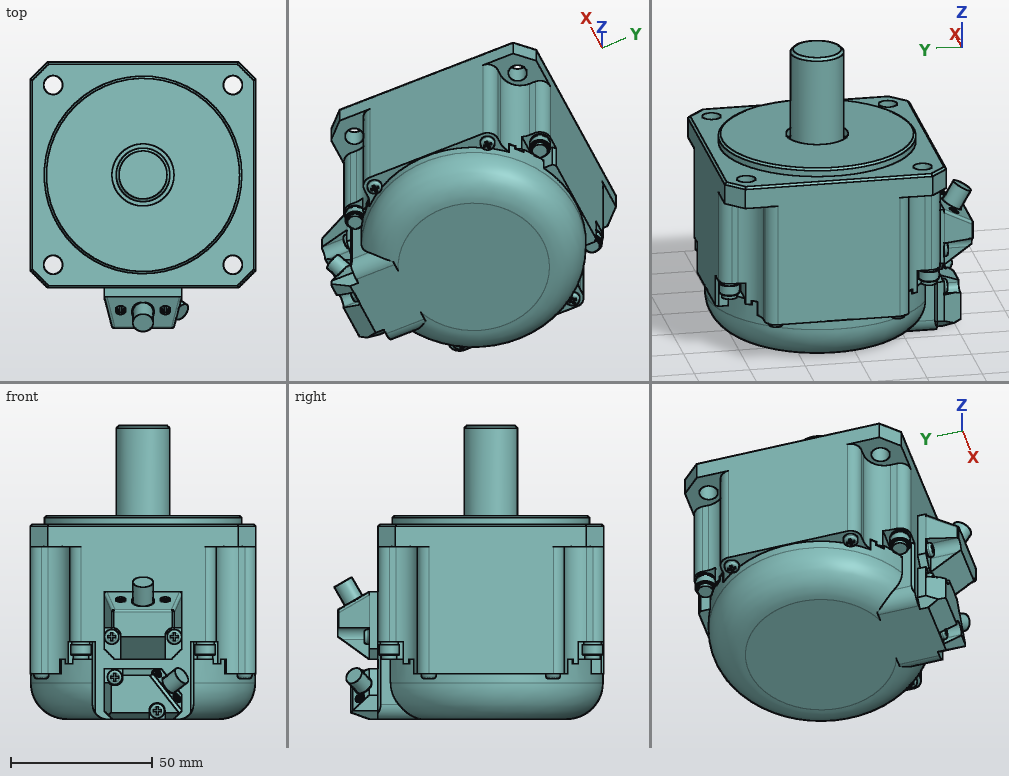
import cadquery as cq
import math

SIZE = 80.0
HALF = SIZE / 2
TOTAL_HEIGHT = 104.1

SHAFT_DIAMETER = 19.0
SHAFT_ABOVE_FLANGE = 35.0
SHAFT_CHAMFER = 1.0
PILOT_DIAMETER = 70.0
PILOT_HEIGHT = 3.0
SHAFT_WELL_DIAMETER = 22.0
SHAFT_WELL_DEPTH = 3.0
EDGE_CHAMFER = 0.8
FLANGE_THICKNESS = 8.0
FLANGE_CORNER = 6.2
BOLT_CIRCLE = 90.0
MOUNT_HOLE_DIAMETER = 6.6
FLANGE_TOP = TOTAL_HEIGHT - SHAFT_ABOVE_FLANGE
FLANGE_BOTTOM = FLANGE_TOP - FLANGE_THICKNESS
PILOT_TOP = FLANGE_TOP + PILOT_HEIGHT

HOUSING_BOTTOM = 21.2
COLUMN_RADIUS = 4.0
COLUMN_OFFSET = 22.0
COLUMN_DEPTH = HALF - COLUMN_RADIUS
SCALLOP_RADIUS = 7.7
SCALLOP_CENTRE = COLUMN_OFFSET + COLUMN_RADIUS + SCALLOP_RADIUS

COVER_RADIUS = 39.8
COVER_ROUND = 13.0
SKIRT_BOTTOM = 16.2
SKIRT_HALF_LENGTH = 27.3
PAD_HALF_WIDTH = 17.9
PAD_CHAMFER = 1.0
PAD_CORNER_RADIUS = 5.3
PAD_DEPTH = 15.0

BOLT_POCKET_TOP = 27.5
BOLT_POCKET_WALL = 31.0
BOLT_POCKET_OUTER = 26.6
BOLT_HEAD_DIAMETER = 7.2
BOLT_HEAD_HEIGHT = 3.8
BOLT_HEAD_CHAMFER = 0.4
BOLT_SPACER_DIAMETER = 6.4
BOLT_SPACER_HEIGHT = 1.1
BOLT_SHANK_DIAMETER = 5.5
LUG_BOTTOM = 19.6
LUG_INNER = 23.9
LUG_OUTER = 27.5
LUG_WALL_INNER = 28.7
LUG_WALL_OUTER = 32.3

PAN_DIAMETER = 5.2
PAN_HEIGHT = 1.8
PAN_ROUND_RATIO = 0.6
CROSS_WIDTH = 0.7
CROSS_LENGTH = 2.8
CROSS_DEPTH = 0.7

CONNECTOR_HALF_WIDTH = 13.8
PLATE_THICKNESS = 3.1
PLATE_FACE = -HALF - PLATE_THICKNESS
CABLE_RECESS_DEPTH = 0.5
CLAMP_HOLE_DIAMETER = 3.6
CLAMP_HOLE_DEPTH = 1.2
CLAMP_HEAD_DIAMETER = 3.0
CLAMP_HEAD_HEIGHT = 1.05

POWER_TOP = 45.2
POWER_BOTTOM = HOUSING_BOTTOM
POWER_FACE = -54.3
POWER_FACE_HALF_WIDTH = 10.9
POWER_FACE_BOTTOM = 29.3
POWER_NOSE_HALF_WIDTH = 7.9
POWER_SLOPE_ANGLE = 30.0
POWER_PLATE_CORNER = 3.8
POWER_WELL_RADIUS = 3.3
POWER_SCREW_X = 11.1
POWER_SCREW_Z = 29.2
POWER_EDGE_RADIUS = 1.1
POWER_SIDE_CHAMFER = 0.5
POWER_CABLE_DIAMETER = 7.2
POWER_CABLE_RECESS = 7.9
POWER_CABLE_LENGTH = 7.57
POWER_CABLE_DEPTH = -48.6
POWER_CLAMP_DEPTH = -47.9
POWER_CLAMP_SPACING = 15.8

ENCODER_TOP = 17.9
ENCODER_FACE = -49.7
ENCODER_FACE_TOP = 15.6
ENCODER_FACE_BOTTOM = 2.4
ENCODER_FACE_LEFT = 11.3
ENCODER_PLATE_CORNER = 3.0
ENCODER_CUT_X = 6.5
ENCODER_CUT_ANGLE = 38.0
ENCODER_CUT_TILT = 30.0
ENCODER_TOP_SCREW = (-10.0, 14.9)
ENCODER_LOW_SCREW = (5.0, 3.0)
ENCODER_TOP_WELL_RADIUS = 2.9
ENCODER_TOP_WELL_FLOOR = 12.9
ENCODER_LOW_WELL_RADIUS = 2.8
ENCODER_CABLE_LENGTH = 6.3
ENCODER_CABLE_DIAMETER = 6.4
ENCODER_CABLE_RECESS = 6.8
ENCODER_CABLE_SHIFT = (0.4, 1.2)
ENCODER_CUT_CHAMFER = 0.9
ENCODER_CLAMP_SPACING = 11.3


def block(x_range, y_range, z_range):
    """Axis-aligned box given by its limits on each axis."""
    size = [high - low for low, high in (x_range, y_range, z_range)]
    corner = (x_range[0], y_range[0], z_range[0])
    return cq.Workplane("XY").box(*size, centered=False).translate(corner)


def pan_screw(plane, diameter=PAN_DIAMETER, height=PAN_HEIGHT):
    """Pan-head screw with a cross recess, standing on the given plane."""
    head = cq.Workplane(plane).circle(diameter / 2).extrude(height)
    head = head.faces(cq.DirectionMinMaxSelector(plane.zDir, True)).edges().fillet(height * PAN_ROUND_RATIO)
    recess_floor = height - CROSS_DEPTH
    for slot in ((CROSS_WIDTH, CROSS_LENGTH), (CROSS_LENGTH, CROSS_WIDTH)):
        head = head.cut(cq.Workplane(plane).workplane(offset=recess_floor).rect(*slot).extrude(CROSS_DEPTH))
    return head


def in_four_corners(feature):
    """The feature together with its mirror images in the XZ and YZ planes."""
    pair = feature.union(feature.mirror("YZ"))
    return pair.union(pair.mirror("XZ"))


def make_front_end():
    """Square flange with mounting holes, pilot disc and shaft."""
    flange = block((-HALF, HALF), (-HALF, HALF), (FLANGE_BOTTOM, FLANGE_TOP))
    flange = flange.edges("|Z").chamfer(FLANGE_CORNER).faces(">Z").edges().chamfer(EDGE_CHAMFER)
    hole_spacing = BOLT_CIRCLE / math.sqrt(2)
    flange = (
        flange.faces(">Z").workplane(origin=(0, 0, FLANGE_TOP))
        .rect(hole_spacing, hole_spacing, forConstruction=True).vertices().hole(MOUNT_HOLE_DIAMETER)
    )
    pilot = cq.Workplane("XY").workplane(offset=FLANGE_TOP).circle(PILOT_DIAMETER / 2).extrude(PILOT_HEIGHT)
    pilot = pilot.faces(">Z").edges().chamfer(EDGE_CHAMFER)
    well_floor = PILOT_TOP - SHAFT_WELL_DEPTH
    well = cq.Workplane("XY").workplane(offset=well_floor).circle(SHAFT_WELL_DIAMETER / 2)
    shaft = cq.Workplane("XY").workplane(offset=well_floor).circle(SHAFT_DIAMETER / 2)
    shaft = shaft.extrude(TOTAL_HEIGHT - well_floor).faces(">Z").edges().chamfer(SHAFT_CHAMFER)
    return flange.union(pilot).cut(well.extrude(SHAFT_WELL_DEPTH)).union(shaft)


def make_housing_prism():
    """Square prism with rounded columns and a concave scallop at each corner, down to the skirt."""
    height = FLANGE_BOTTOM - SKIRT_BOTTOM
    square = block((-HALF, HALF), (-HALF, HALF), (SKIRT_BOTTOM, FLANGE_BOTTOM))
    diagonal = 1 / math.sqrt(2)
    column_mid = (
        COLUMN_OFFSET + COLUMN_RADIUS * diagonal,
        COLUMN_DEPTH + COLUMN_RADIUS * diagonal,
    )
    scallop_mid = SCALLOP_CENTRE - SCALLOP_RADIUS * diagonal
    column_side = COLUMN_OFFSET + COLUMN_RADIUS
    relief = (
        cq.Workplane("XY").workplane(offset=SKIRT_BOTTOM)
        .moveTo(COLUMN_OFFSET, HALF)
        .threePointArc(column_mid, (column_side, COLUMN_DEPTH))
        .lineTo(column_side, SCALLOP_CENTRE)
        .threePointArc((scallop_mid, scallop_mid), (SCALLOP_CENTRE, column_side))
        .lineTo(COLUMN_DEPTH, column_side)
        .threePointArc(column_mid[::-1], (HALF, COLUMN_OFFSET))
        .lineTo(HALF, HALF)
        .close()
        .extrude(height)
    )
    return square.cut(in_four_corners(relief))


def make_housing():
    """Housing prism with side skirts, corner lugs and open pockets for the cap screws."""
    prism = make_housing_prism()
    full = (-HALF, HALF)
    kept = block(full, full, (HOUSING_BOTTOM, FLANGE_BOTTOM))
    kept = kept.union(block(full, (-SKIRT_HALF_LENGTH, SKIRT_HALF_LENGTH), (SKIRT_BOTTOM, HOUSING_BOTTOM)))
    lug = block(
        (LUG_INNER, LUG_OUTER),
        (LUG_WALL_INNER, LUG_WALL_OUTER),
        (LUG_BOTTOM, HOUSING_BOTTOM),
    )
    pocket = (
        cq.Workplane("XY").workplane(offset=LUG_BOTTOM)
        .moveTo(PAD_HALF_WIDTH - PAD_CHAMFER, HALF)
        .lineTo(PAD_HALF_WIDTH, HALF - PAD_CHAMFER)
        .lineTo(PAD_HALF_WIDTH, BOLT_POCKET_WALL)
        .lineTo(BOLT_POCKET_OUTER, BOLT_POCKET_WALL)
        .lineTo(BOLT_POCKET_OUTER, HALF)
        .close()
        .extrude(BOLT_POCKET_TOP - LUG_BOTTOM)
    )
    return prism.intersect(kept.union(in_four_corners(lug))).cut(in_four_corners(pocket))


def make_pad(bottom):
    """Pad on the -Y side with chamfered vertical edges, reaching down to the given height."""
    pad = block(
        (-PAD_HALF_WIDTH, PAD_HALF_WIDTH),
        (-HALF, -HALF + PAD_DEPTH),
        (bottom, HOUSING_BOTTOM),
    )
    return pad.edges("|Z and <Y").chamfer(PAD_CHAMFER)


def make_cover():
    """Round rear cover with a connector pad at -Y and a short pad at +Y."""
    cover = cq.Workplane("XY").circle(COVER_RADIUS).extrude(HOUSING_BOTTOM)
    cover = cover.faces("<Z").edges().fillet(COVER_ROUND)
    rounded_outline = block(
        (-PAD_HALF_WIDTH, PAD_HALF_WIDTH),
        (-HALF, -HALF + PAD_DEPTH),
        (0, HOUSING_BOTTOM),
    ).edges("|Y and <Z").fillet(PAD_CORNER_RADIUS)
    connector_pad = make_pad(0).intersect(rounded_outline)
    return cover.union(connector_pad).union(make_pad(SKIRT_BOTTOM).mirror("XZ"))


def make_fasteners():
    """Cap screws in the housing pockets and pan screws under the side skirts."""
    head_top = BOLT_POCKET_TOP - BOLT_SPACER_HEIGHT
    head_bottom = head_top - BOLT_HEAD_HEIGHT

    def bolt_disc(diameter, bottom, top):
        base = cq.Workplane("XY").workplane(offset=bottom).center(COLUMN_OFFSET, COLUMN_DEPTH)
        return base.circle(diameter / 2).extrude(top - bottom)

    head = bolt_disc(BOLT_HEAD_DIAMETER, head_bottom, head_top).faces("<Z").edges().chamfer(BOLT_HEAD_CHAMFER)
    spacer = bolt_disc(BOLT_SPACER_DIAMETER, head_top, BOLT_POCKET_TOP)
    shank = bolt_disc(BOLT_SHANK_DIAMETER, HOUSING_BOTTOM, head_bottom)
    skirt_plane = cq.Plane(
        origin=(COLUMN_DEPTH, COLUMN_OFFSET, SKIRT_BOTTOM), xDir=(1, 0, 0), normal=(0, 0, -1)
    )
    return in_four_corners(head.union(spacer).union(shank).union(pan_screw(skirt_plane)))


def front_plane(x, z, y):
    """Plane facing -Y at the given point."""
    return cq.Plane(origin=(x, y, z), xDir=(1, 0, 0), normal=(0, -1, 0))


def screw_well(x, z, radius, x_range, z_range, face):
    """Open well around a screw: a cylinder plus a rectangular outlet, in front of the plate."""
    depth = PLATE_FACE - face
    cylinder = cq.Workplane(front_plane(x, z, PLATE_FACE)).circle(radius).extrude(depth)
    return cylinder.union(block(x_range, (face, PLATE_FACE), z_range))


def add_cable(body, plane, diameter, recess_diameter, length):
    """Add a cable stub rising from a shallow round recess in the plane."""
    recess_floor = cq.Workplane(plane).workplane(offset=-CABLE_RECESS_DEPTH)
    body = body.cut(recess_floor.circle(recess_diameter / 2).extrude(CABLE_RECESS_DEPTH))
    return body.union(recess_floor.circle(diameter / 2).extrude(length + CABLE_RECESS_DEPTH))


def add_clamp_screws(body, plane, spacing):
    """Add two small screws sunk in holes, spaced along the local X of the plane."""
    for offset in (-spacing / 2, spacing / 2):
        floor = cq.Plane(
            origin=plane.toWorldCoords((offset, 0, -CLAMP_HOLE_DEPTH)),
            xDir=plane.xDir, normal=plane.zDir,
        )
        body = body.cut(cq.Workplane(floor).circle(CLAMP_HOLE_DIAMETER / 2).extrude(CLAMP_HOLE_DEPTH))
        body = body.union(pan_screw(floor, CLAMP_HEAD_DIAMETER, CLAMP_HEAD_HEIGHT))
    return body


def make_power_connector():
    """Upper connector: tapered hood with a sloped cable face, undercut nose and two screws."""
    plate = block(
        (-CONNECTOR_HALF_WIDTH, CONNECTOR_HALF_WIDTH), (PLATE_FACE, -HALF), (POWER_BOTTOM, POWER_TOP)
    ).edges("|Y and <Z").chamfer(POWER_PLATE_CORNER)

    slope = math.radians(POWER_SLOPE_ANGLE)
    reach = PLATE_FACE - POWER_FACE
    face_top = POWER_TOP - reach * math.tan(slope)
    profile = cq.Workplane("YZ").workplane(offset=-CONNECTOR_HALF_WIDTH).polyline([
        (PLATE_FACE, POWER_BOTTOM),
        (PLATE_FACE, POWER_TOP),
        (POWER_FACE, face_top),
        (POWER_FACE, POWER_FACE_BOTTOM),
    ]).close().extrude(2 * CONNECTOR_HALF_WIDTH)
    taper = cq.Workplane("XY").workplane(offset=POWER_BOTTOM).polyline([
        (-CONNECTOR_HALF_WIDTH, PLATE_FACE),
        (-POWER_FACE_HALF_WIDTH, POWER_FACE),
        (POWER_FACE_HALF_WIDTH, POWER_FACE),
        (CONNECTOR_HALF_WIDTH, PLATE_FACE),
    ]).close().extrude(POWER_TOP - POWER_BOTTOM)
    hood = profile.intersect(taper)
    slope_selector = cq.selectors.DirectionMinMaxSelector(
        cq.Vector(0, -math.sin(slope), math.cos(slope)), True
    )
    hood = hood.edges(cq.selectors.BoxSelector(
        (-CONNECTOR_HALF_WIDTH, POWER_FACE - POWER_SIDE_CHAMFER, POWER_FACE_BOTTOM),
        (CONNECTOR_HALF_WIDTH, POWER_FACE + POWER_SIDE_CHAMFER, face_top),
    )).edges("|Z").chamfer(POWER_SIDE_CHAMFER)
    hood = hood.faces(slope_selector).edges("not(>Z)").fillet(POWER_EDGE_RADIUS)

    for side in (-1, 1):
        outlet_x = sorted((side * POWER_NOSE_HALF_WIDTH, side * CONNECTOR_HALF_WIDTH))
        hood = hood.cut(screw_well(
            side * POWER_SCREW_X, POWER_SCREW_Z, POWER_WELL_RADIUS,
            outlet_x, (POWER_BOTTOM, POWER_SCREW_Z), POWER_FACE,
        ))
        beside_screw = sorted((side * POWER_SCREW_X, side * CONNECTOR_HALF_WIDTH))
        hood = hood.cut(block(
            beside_screw, (POWER_FACE, PLATE_FACE), (POWER_SCREW_Z, POWER_SCREW_Z + POWER_WELL_RADIUS)
        ))
    body = plate.union(hood)
    for side in (-1, 1):
        body = body.union(pan_screw(front_plane(side * POWER_SCREW_X, POWER_SCREW_Z, PLATE_FACE)))

    def slope_plane(depth):
        height = POWER_TOP - (PLATE_FACE - depth) * math.tan(slope)
        return cq.Plane(
            origin=(0, depth, height), xDir=(1, 0, 0), normal=(0, -math.sin(slope), math.cos(slope))
        )

    body = add_clamp_screws(body, slope_plane(POWER_CLAMP_DEPTH), POWER_CLAMP_SPACING)
    return add_cable(
        body, slope_plane(POWER_CABLE_DEPTH), POWER_CABLE_DIAMETER, POWER_CABLE_RECESS, POWER_CABLE_LENGTH
    )


def make_encoder_connector():
    """Lower connector: tapered box with one corner cut off obliquely to carry the cable."""
    angle = math.radians(ENCODER_CUT_ANGLE)
    tilt = math.radians(ENCODER_CUT_TILT)
    across = cq.Vector(math.sin(angle), 0, -math.cos(angle))
    outward = cq.Vector(math.cos(angle), 0, math.sin(angle))
    cut_height = (CONNECTOR_HALF_WIDTH - ENCODER_CUT_X) / math.tan(angle)

    outline = cq.Workplane(front_plane(0, 0, -HALF)).polyline([
        (-CONNECTOR_HALF_WIDTH, ENCODER_PLATE_CORNER),
        (-CONNECTOR_HALF_WIDTH, ENCODER_TOP),
        (ENCODER_CUT_X, ENCODER_TOP),
        (CONNECTOR_HALF_WIDTH, ENCODER_TOP - cut_height),
        (CONNECTOR_HALF_WIDTH, ENCODER_PLATE_CORNER),
        (CONNECTOR_HALF_WIDTH - ENCODER_PLATE_CORNER, 0),
        (-CONNECTOR_HALF_WIDTH + ENCODER_PLATE_CORNER, 0),
    ]).close().extrude(-HALF - ENCODER_FACE)
    full_width = (-CONNECTOR_HALF_WIDTH, CONNECTOR_HALF_WIDTH)
    plate = outline.intersect(block(full_width, (PLATE_FACE, -HALF), (0, ENCODER_TOP)))

    face_x = (CONNECTOR_HALF_WIDTH - ENCODER_FACE_LEFT) / 2
    face_z = (ENCODER_FACE_TOP + ENCODER_FACE_BOTTOM) / 2
    lid = (
        cq.Workplane(front_plane(0, ENCODER_TOP / 2, PLATE_FACE))
        .rect(2 * CONNECTOR_HALF_WIDTH, ENCODER_TOP)
        .workplane(offset=PLATE_FACE - ENCODER_FACE)
        .center(face_x, face_z - ENCODER_TOP / 2)
        .rect(CONNECTOR_HALF_WIDTH + ENCODER_FACE_LEFT, ENCODER_FACE_TOP - ENCODER_FACE_BOTTOM)
        .loft(ruled=True)
    )
    lid = lid.intersect(outline)

    reach = PLATE_FACE - ENCODER_FACE
    mid_inset = reach / 2 * math.tan(tilt)
    plate_mid = cq.Vector(
        (ENCODER_CUT_X + CONNECTOR_HALF_WIDTH) / 2,
        (PLATE_FACE + ENCODER_FACE) / 2,
        ENCODER_TOP - cut_height / 2,
    )
    normal = outward * math.cos(tilt) + cq.Vector(0, -math.sin(tilt), 0)
    cut_plane = cq.Plane(origin=plate_mid - outward * mid_inset, xDir=across, normal=normal)
    lid = lid.cut(cq.Workplane(cut_plane).rect(SIZE, SIZE).extrude(SIZE))
    cut_selector = cq.selectors.DirectionMinMaxSelector(normal, True)
    lid = lid.faces(cut_selector).edges("<Y").chamfer(ENCODER_CUT_CHAMFER)

    top_x, top_z = ENCODER_TOP_SCREW
    low_x, low_z = ENCODER_LOW_SCREW
    lid = lid.cut(screw_well(
        top_x, top_z, ENCODER_TOP_WELL_RADIUS,
        (-CONNECTOR_HALF_WIDTH, top_x), (ENCODER_TOP_WELL_FLOOR, ENCODER_TOP), ENCODER_FACE,
    ))
    lid = lid.cut(block(
        (top_x, top_x + ENCODER_TOP_WELL_RADIUS), (ENCODER_FACE, PLATE_FACE), (top_z, ENCODER_TOP)
    ))
    lid = lid.cut(screw_well(
        low_x, low_z, ENCODER_LOW_WELL_RADIUS,
        (low_x - ENCODER_LOW_WELL_RADIUS, low_x + ENCODER_LOW_WELL_RADIUS), (0, low_z), ENCODER_FACE,
    ))
    body = plate.union(lid)
    for x, z in (ENCODER_TOP_SCREW, ENCODER_LOW_SCREW):
        body = body.union(pan_screw(front_plane(x, z, PLATE_FACE)))
    body = add_clamp_screws(body, cut_plane, ENCODER_CLAMP_SPACING)
    across_shift, back_shift = ENCODER_CABLE_SHIFT
    back = cq.Vector(0, 1, 0) * math.cos(tilt) + outward * math.sin(tilt)
    cable_plane = cq.Plane(
        origin=cut_plane.origin + across * across_shift + back * back_shift, xDir=across, normal=normal
    )
    return add_cable(
        body, cable_plane, ENCODER_CABLE_DIAMETER, ENCODER_CABLE_RECESS, ENCODER_CABLE_LENGTH
    )


result = (
    make_front_end()
    .union(make_housing())
    .union(make_cover())
    .union(make_fasteners())
    .union(make_power_connector())
    .union(make_encoder_connector())
)